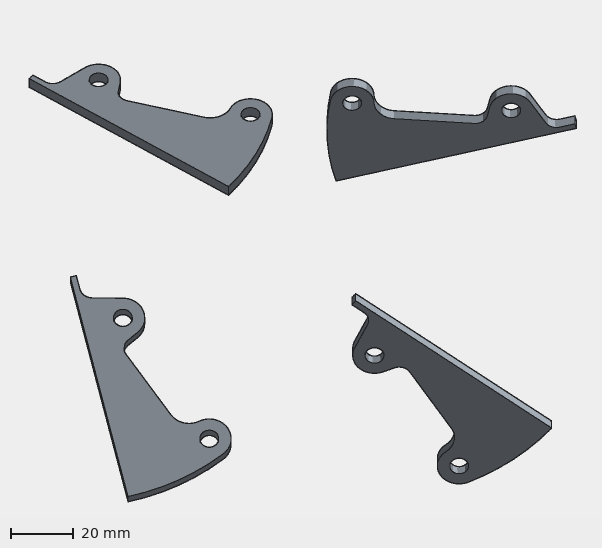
import cadquery as cq
import math

thickness = 4.0
base_length = 80.0
tail_height = 2.0
hole_radius = 3.0
lug_radius = 7.0
low_hole = (18.0, 13.0)
rim_radius = 75.0
high_hole_y = 30.0
tail_fillet_radius = 4.0
valley_fillet_radius = 4.0
high_fillet_radius = 7.0
rear_flank_angle = 76.0
front_flank_angle = -62.0
ramp_angle = 20.45
ramp_offset = -0.45

rim_centre = (base_length - rim_radius, 0.0)
lug_reach = rim_radius - lug_radius
high_hole = (rim_centre[0] + math.sqrt(lug_reach**2 - high_hole_y**2), high_hole_y)


def polar(centre, radius, angle):
    """Point at the given radius and angle (degrees) from a centre."""
    a = math.radians(angle)
    return (centre[0] + radius * math.cos(a), centre[1] + radius * math.sin(a))


def line_intersection(p, p_angle, q, q_angle):
    """Crossing point of two lines, each given by a point and a direction angle."""
    pa, qa = math.radians(p_angle), math.radians(q_angle)
    dx, dy = q[0] - p[0], q[1] - p[1]
    along_p = (dx * math.sin(qa) - dy * math.cos(qa)) / math.sin(qa - pa)
    return polar(p, along_p, p_angle)


def left_turn_fillet(p, p_angle, q, q_angle, radius):
    """Start, middle and end of a fillet where the edge turns left from line p to line q."""
    centre = line_intersection(
        polar(p, radius, p_angle + 90), p_angle, polar(q, radius, q_angle + 90), q_angle
    )
    return [polar(centre, radius, a - 90) for a in (p_angle, (p_angle + q_angle) / 2, q_angle)]


def plate_outline():
    tail_top = (0.0, tail_height)
    ramp_origin = (0.0, ramp_offset)

    rear_tangent = polar(low_hole, lug_radius, rear_flank_angle + 90)
    low_top = polar(low_hole, lug_radius, 90)
    front_tangent = polar(low_hole, lug_radius, front_flank_angle + 90)

    tail_start, tail_mid, tail_end = left_turn_fillet(
        tail_top, 0, rear_tangent, rear_flank_angle, tail_fillet_radius
    )
    valley_start, valley_mid, valley_end = left_turn_fillet(
        front_tangent, front_flank_angle, ramp_origin, ramp_angle, valley_fillet_radius
    )

    centre_track = polar(ramp_origin, high_fillet_radius, ramp_angle + 90)
    foot = line_intersection(centre_track, ramp_angle, high_hole, ramp_angle + 90)
    centre_distance = lug_radius + high_fillet_radius
    back_step = math.sqrt(centre_distance**2 - math.dist(foot, high_hole) ** 2)
    fillet_centre = polar(foot, -back_step, ramp_angle)
    contact_angle = math.degrees(
        math.atan2(high_hole[1] - fillet_centre[1], high_hole[0] - fillet_centre[0])
    )
    high_start = polar(fillet_centre, high_fillet_radius, ramp_angle - 90)
    high_mid = polar(fillet_centre, high_fillet_radius, (ramp_angle - 90 + contact_angle) / 2)
    high_end = polar(fillet_centre, high_fillet_radius, contact_angle)

    high_top = polar(high_hole, lug_radius, 90)
    rim_angle = math.degrees(math.atan2(high_hole[1], high_hole[0] - rim_centre[0]))
    rim_start = polar(rim_centre, rim_radius, rim_angle)
    rim_mid = polar(rim_centre, rim_radius, rim_angle / 2)

    return (
        cq.Workplane("XY")
        .lineTo(*tail_top)
        .lineTo(*tail_start)
        .threePointArc(tail_mid, tail_end)
        .lineTo(*rear_tangent)
        .threePointArc(low_top, front_tangent)
        .lineTo(*valley_start)
        .threePointArc(valley_mid, valley_end)
        .lineTo(*high_start)
        .threePointArc(high_mid, high_end)
        .threePointArc(high_top, rim_start)
        .threePointArc(rim_mid, (base_length, 0.0))
        .close()
    )


def hole_cutter():
    return cq.Workplane("XY").pushPoints([low_hole, high_hole]).circle(hole_radius).extrude(thickness)


result = plate_outline().extrude(thickness).cut(hole_cutter())